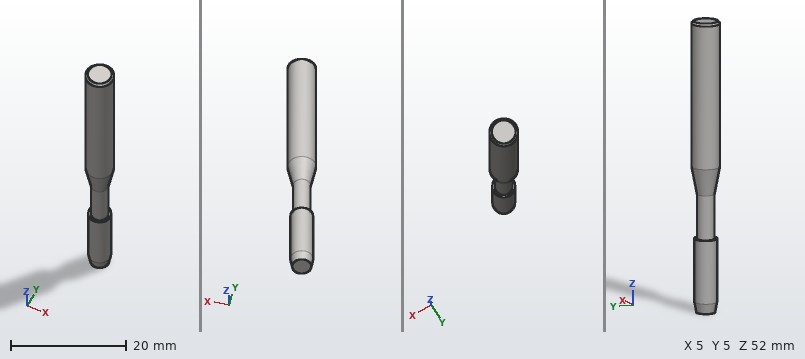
import cadquery as cq

total_length = 52.0
tip_taper_height = 1.85
head_length = 13.15
neck_top = 21.1
shank_bottom = 26.0

shank_diameter = 5.0
neck_diameter = 3.1
head_diameter = 4.0
tip_diameter = 3.35

shank_chamfer = 0.4

bottom_z = -total_length / 2


def revolve_about_z(profile):
    """Revolve a closed (radius, height) outline, heights measured from the tip."""
    return (
        cq.Workplane("XZ", origin=(0, 0, bottom_z))
        .polyline(profile)
        .close()
        .revolve(360, (0, 0, 0), (0, 1, 0))
    )


def make_shank():
    """Cylindrical shank, chamfered on top, narrowing through a cone to the neck."""
    shank_radius = shank_diameter / 2
    neck_radius = neck_diameter / 2
    return revolve_about_z([
        (0, head_length),
        (neck_radius, head_length),
        (neck_radius, neck_top),
        (shank_radius, shank_bottom),
        (shank_radius, total_length - shank_chamfer),
        (shank_radius - shank_chamfer, total_length),
        (0, total_length),
    ])


def make_cutting_head():
    """Cylindrical head with a tapered tip, meeting the neck at a flat face."""
    head_radius = head_diameter / 2
    return revolve_about_z([
        (0, 0),
        (tip_diameter / 2, 0),
        (head_radius, tip_taper_height),
        (head_radius, head_length),
        (0, head_length),
    ])


shank = make_shank()
cutting_head = make_cutting_head()

result = cq.Compound.makeCompound([shank.val(), cutting_head.val()])